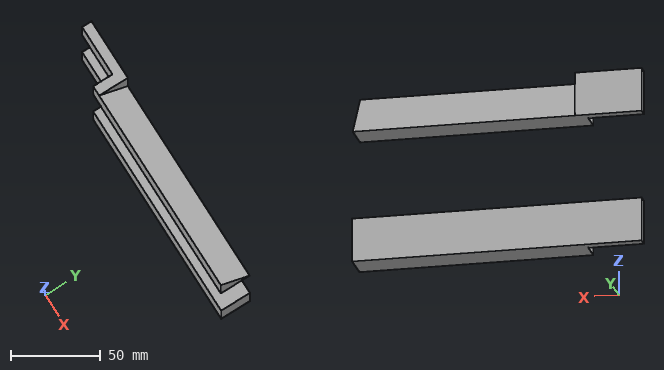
import cadquery as cq

LENGTH = 165.1
DEPTH = 19.0
BAR_HEIGHT = 25.3
OVERALL_HEIGHT = 101.5
TAB_LENGTH = 31.7
TAB_THICKNESS = 6.3

UPPER_END_GAP = 0.3

TAB_FRONT = DEPTH - TAB_THICKNESS
STEP_BACK = TAB_LENGTH + TAB_THICKNESS
UPPER_BASE = OVERALL_HEIGHT - BAR_HEIGHT


def make_lower_bar():
    """Solid bar with a thin tab at its -X end, flush with the back."""
    return (
        cq.Workplane("XY")
        .moveTo(0, DEPTH)
        .lineTo(0, TAB_FRONT)
        .lineTo(TAB_LENGTH, TAB_FRONT)
        .lineTo(TAB_LENGTH, 0)
        .lineTo(LENGTH, 0)
        .lineTo(LENGTH, DEPTH)
        .close()
        .extrude(BAR_HEIGHT)
    )


def make_upper_bar():
    """Tab and step wall like the lower bar's, then a wedge sloping down to the back."""
    mount = (
        cq.Workplane("XY", origin=(0, 0, UPPER_BASE))
        .moveTo(0, DEPTH)
        .lineTo(0, TAB_FRONT)
        .lineTo(TAB_LENGTH, TAB_FRONT)
        .lineTo(TAB_LENGTH, 0)
        .lineTo(STEP_BACK, 0)
        .lineTo(STEP_BACK, DEPTH)
        .close()
        .extrude(BAR_HEIGHT)
    )
    wedge = (
        cq.Workplane("YZ", origin=(STEP_BACK, 0, UPPER_BASE))
        .moveTo(0, 0)
        .lineTo(DEPTH, 0)
        .lineTo(0, BAR_HEIGHT)
        .close()
        .extrude(LENGTH - UPPER_END_GAP - STEP_BACK)
    )
    return mount.union(wedge)


lower_bar = make_lower_bar()
upper_bar = make_upper_bar()

result = cq.Compound.makeCompound([lower_bar.val(), upper_bar.val()])